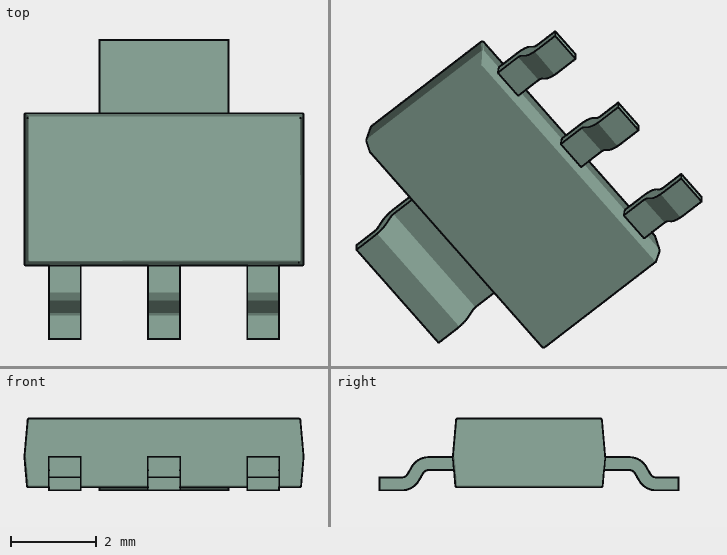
import cadquery as cq
import math

body_length = 6.5
body_width = 3.55
body_bottom = 0.07
body_top = 1.68
parting_height = 0.78
draft_angle = 5.0
body_edge_radius = 0.05

span = 6.96
lead_thickness = 0.305
foot_length = 0.52
inner_bend_radius = 0.15
outer_bend_radius = inner_bend_radius + lead_thickness
bend_angle = 60.0
lead_embed = 0.28
pin_width = 0.745
pin_pitch = 2.305
tab_width = 3.01


def drafted_half(height):
    """Half of the body, tapering away from the parting plane; negative height goes down."""
    half = (
        cq.Workplane("XY")
        .rect(body_length, body_width)
        .extrude(abs(height), taper=draft_angle)
    )
    if height < 0:
        half = half.mirror("XY")
    return half.translate((0, 0, parting_height))


def make_body():
    upper = drafted_half(body_top - parting_height)
    lower = drafted_half(body_bottom - parting_height)
    body = upper.union(lower)
    parting_edges = cq.selectors.BoxSelector(
        (-body_length, -body_width, parting_height - body_edge_radius),
        (body_length, body_width, parting_height + body_edge_radius),
    )
    return body.edges(cq.selectors.InverseSelector(parting_edges)).fillet(body_edge_radius)


def point_on_bend(center, radius, angle):
    """Point on a circle in the YZ plane, with the angle in degrees from +Y."""
    turn = math.radians(angle)
    return (center[0] + radius * math.cos(turn), center[1] + radius * math.sin(turn))


def make_lead(width, x_center):
    """Lead reaching out to -Y: a foot, a bend up, a short slope, a bend back and a shank."""
    toe = -span / 2
    heel = toe + foot_length
    shank_bottom = parting_height - lead_thickness
    bend = math.radians(bend_angle)
    bend_radii = inner_bend_radius + outer_bend_radius
    slope_rise = shank_bottom - bend_radii * (1 - math.cos(bend))
    slope_run = slope_rise / math.tan(bend)
    shoulder = heel + bend_radii * math.sin(bend) + slope_run
    root = -body_width / 2 + lead_embed

    foot_center = (heel, outer_bend_radius)
    shank_center = (shoulder, parting_height - outer_bend_radius)

    def foot_arc(radius, share):
        return point_on_bend(foot_center, radius, -90 + share * bend_angle)

    def shank_arc(radius, share):
        return point_on_bend(shank_center, radius, 90 + share * bend_angle)

    profile = (
        cq.Workplane("YZ")
        .moveTo(toe, 0)
        .lineTo(heel, 0)
        .threePointArc(foot_arc(outer_bend_radius, 0.5), foot_arc(outer_bend_radius, 1))
        .lineTo(*shank_arc(inner_bend_radius, 1))
        .threePointArc(shank_arc(inner_bend_radius, 0.5), shank_arc(inner_bend_radius, 0))
        .lineTo(root, shank_bottom)
        .lineTo(root, parting_height)
        .lineTo(shoulder, parting_height)
        .threePointArc(shank_arc(outer_bend_radius, 0.5), shank_arc(outer_bend_radius, 1))
        .lineTo(*foot_arc(inner_bend_radius, 1))
        .threePointArc(foot_arc(inner_bend_radius, 0.5), foot_arc(inner_bend_radius, 0))
        .lineTo(toe, lead_thickness)
        .close()
    )
    return profile.extrude(width / 2, both=True).translate((x_center, 0, 0))


result = make_body()

for position in (-1, 0, 1):
    result = result.union(make_lead(pin_width, position * pin_pitch))

result = result.union(make_lead(tab_width, 0).mirror("XZ"))